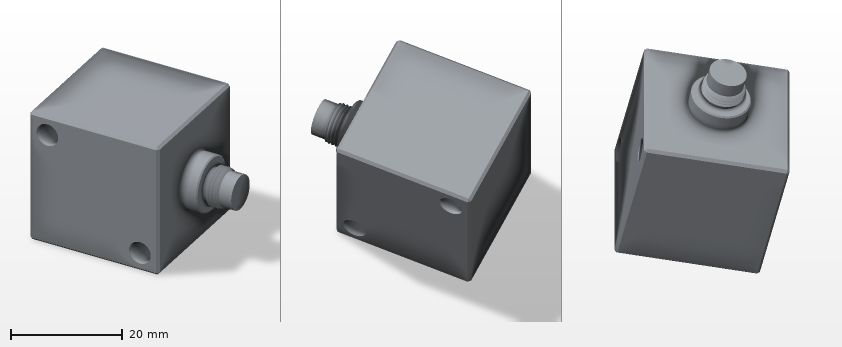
import cadquery as cq
import math

CUBE_SIDE = 26.67
HALF_SIDE = CUBE_SIDE / 2
EDGE_CHAMFER = 0.508

MOUNT_HOLE_DIAMETER = 4.445
MOUNT_HOLE_INSET = 3.81
MOUNT_HOLE_OFFSET = HALF_SIDE - MOUNT_HOLE_INSET

DISC_DIAMETER = 15.24
DISC_THICKNESS = 0.5
TARGET_DIAMETER = 3.81
QUARTER_TURN = 90
TOP_DISC_X = 3.81
TOP_TARGET_X = 3.87
SIDE_DISC_Z = -2.54
SIDE_TARGET_Z = -1.57
DISC_Y = 8.89 - HALF_SIDE
TOP_TARGET_Y = -3.43
SIDE_TARGET_Y = -4.5

CONNECTOR_LENGTH = 9.4
FLANGE_RADIUS = 5.51
FLANGE_LENGTH = 3.53
FLANGE_FOOT_FILLET = 0.38
FLANGE_RIM_CHAMFER = 0.254
BARREL_RADIUS = 3.4
THREAD_ROOT_RADIUS = 3.5
THREAD_CREST_RADIUS = 3.9
THREAD_PITCH = 0.7
THREAD_START = 4.19
FULL_THREAD_COUNT = 3
LAST_CREST_RADIUS = 3.75
LAST_THREAD_LENGTH = 0.46


def disc_pocket_planes():
    """Planes on the two marked faces, with Z pointing out and the origin at the disc centre."""
    top = cq.Plane(origin=(TOP_DISC_X, DISC_Y, HALF_SIDE), xDir=(1, 0, 0), normal=(0, 0, 1))
    side = cq.Plane(origin=(-HALF_SIDE, DISC_Y, SIDE_DISC_Z), xDir=(0, -1, 0), normal=(-1, 0, 0))
    return top, side


def disc_blank(plane):
    """Plain disc sunk into the housing behind the given plane."""
    return cq.Workplane(plane).circle(DISC_DIAMETER / 2).extrude(-DISC_THICKNESS)


def make_housing():
    """Cube with all edges chamfered, two mounting holes and a pocket for each disc."""
    housing = cq.Workplane("XY").box(CUBE_SIDE, CUBE_SIDE, CUBE_SIDE).edges().chamfer(EDGE_CHAMFER)
    hole_centres = [(-MOUNT_HOLE_OFFSET, MOUNT_HOLE_OFFSET), (MOUNT_HOLE_OFFSET, -MOUNT_HOLE_OFFSET)]
    holes = (
        cq.Workplane("XZ")
        .pushPoints(hole_centres)
        .circle(MOUNT_HOLE_DIAMETER / 2)
        .extrude(HALF_SIDE, both=True)
    )
    housing = housing.cut(holes)
    for plane in disc_pocket_planes():
        housing = housing.cut(disc_blank(plane))
    return housing


def make_marker_disc(plane, target_centre):
    """Disc whose outer face carries a flush round target divided into four quadrants."""
    disc = disc_blank(plane)
    target_radius = TARGET_DIAMETER / 2
    half_chord = target_radius * math.sqrt(0.5)
    quadrant = (
        cq.Workplane(plane)
        .lineTo(target_radius, 0)
        .threePointArc((half_chord, half_chord), (0, target_radius))
        .close()
        .extrude(-DISC_THICKNESS)
    )
    axis_end = plane.origin + plane.zDir
    shift = plane.toWorldCoords(target_centre) - plane.origin
    for turn in range(4):
        placed = quadrant.rotate(plane.origin, axis_end, turn * QUARTER_TURN).translate(shift)
        disc = disc.union(placed, clean=False)
    return disc


def make_connector():
    """Flange with a filleted foot, then a barrel carrying a ring-shaped thread."""
    foot_radius = FLANGE_RADIUS + FLANGE_FOOT_FILLET
    fillet_reach = FLANGE_FOOT_FILLET * (1 - math.sqrt(0.5))
    profile = (
        cq.Workplane("XZ", origin=(HALF_SIDE, 0, 0))
        .lineTo(0, foot_radius)
        .threePointArc(
            (fillet_reach, FLANGE_RADIUS + fillet_reach),
            (FLANGE_FOOT_FILLET, FLANGE_RADIUS),
        )
        .lineTo(FLANGE_LENGTH - FLANGE_RIM_CHAMFER, FLANGE_RADIUS)
        .lineTo(FLANGE_LENGTH, FLANGE_RADIUS - FLANGE_RIM_CHAMFER)
        .lineTo(FLANGE_LENGTH, BARREL_RADIUS)
        .lineTo(THREAD_START, BARREL_RADIUS)
        .lineTo(THREAD_START, THREAD_ROOT_RADIUS)
    )
    for thread in range(FULL_THREAD_COUNT):
        ridge_start = THREAD_START + thread * THREAD_PITCH
        profile = profile.lineTo(ridge_start + THREAD_PITCH / 2, THREAD_CREST_RADIUS)
        profile = profile.lineTo(ridge_start + THREAD_PITCH, THREAD_ROOT_RADIUS)
    last_start = THREAD_START + FULL_THREAD_COUNT * THREAD_PITCH
    last_end = last_start + LAST_THREAD_LENGTH
    profile = (
        profile.lineTo(last_start + LAST_THREAD_LENGTH / 2, LAST_CREST_RADIUS)
        .lineTo(last_end, BARREL_RADIUS)
        .lineTo(CONNECTOR_LENGTH, BARREL_RADIUS)
        .lineTo(CONNECTOR_LENGTH, 0)
        .close()
    )
    return profile.revolve(360, (0, 0, 0), (1, 0, 0))


top_plane, side_plane = disc_pocket_planes()
housing = make_housing()
top_disc = make_marker_disc(top_plane, (TOP_TARGET_X - TOP_DISC_X, TOP_TARGET_Y - DISC_Y))
side_disc = make_marker_disc(side_plane, (DISC_Y - SIDE_TARGET_Y, SIDE_TARGET_Z - SIDE_DISC_Z))
connector = make_connector()

result = cq.Compound.makeCompound(
    [housing.val(), *top_disc.vals(), *side_disc.vals(), connector.val()]
)